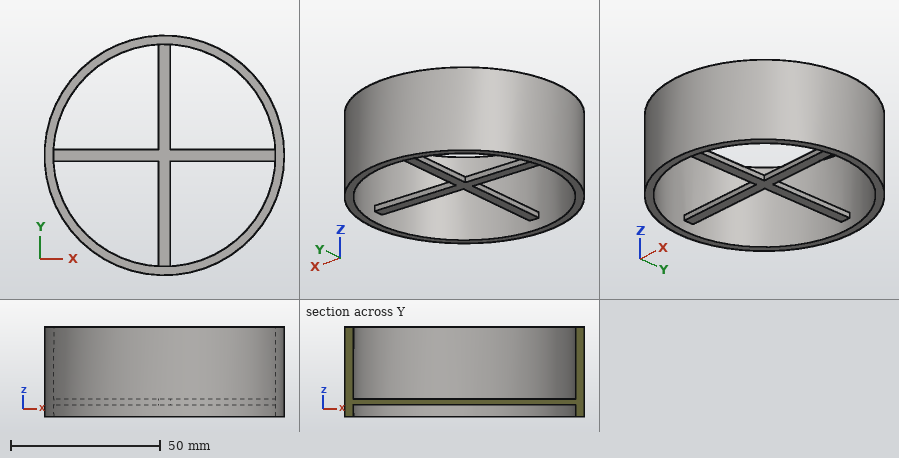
import cadquery as cq

outer_diameter = 80.0
inner_diameter = 74.0
ring_height = 30.0

bar_width = 4.0
bar_thickness = 2.0
bar_bottom_z = 4.0
wall_thickness = (outer_diameter - inner_diameter) / 2
bar_length = inner_diameter + wall_thickness


def make_ring():
    """Plain open tube standing on the XY plane."""
    return cq.Workplane("XY").circle(outer_diameter / 2).circle(inner_diameter / 2).extrude(ring_height)


def make_bar(angle):
    """Flat bar through the ring axis, turned about Z by the given angle in degrees."""
    bar = cq.Workplane("XY").workplane(offset=bar_bottom_z).rect(bar_length, bar_width).extrude(bar_thickness)
    return bar.rotate((0, 0, 0), (0, 0, 1), angle)


result = make_ring()
for bar_angle in (0, 90):
    result = result.union(make_bar(bar_angle))